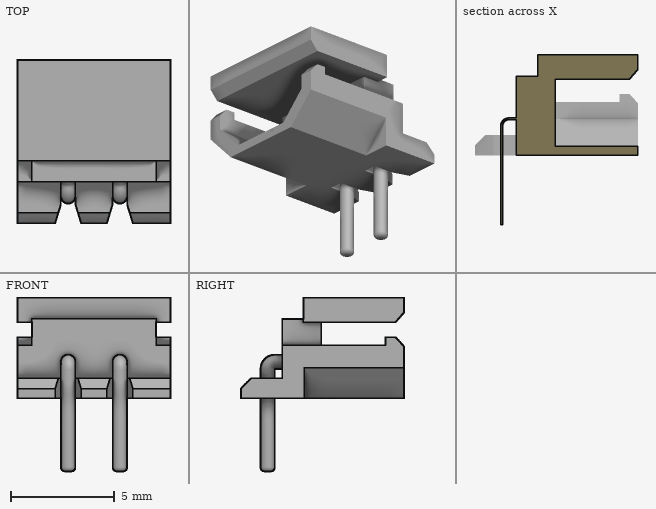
import cadquery as cq
import math


width = 7.4
half_width = width / 2
side_wall_thickness = 0.7
mating_face_y = 5.9
roof_front_y = 1.02
rail_top_z = 2.58
wall_top_z = 3.85
roof_bottom_z = 3.68
roof_top_z = 4.87
roof_chamfer_depth = 0.42
roof_chamfer_height = 0.48

centre_wall_width = width - 2 * side_wall_thickness
centre_wall_thickness = 1.9

bump_length = 0.91
bump_top_z = 2.97
bump_chamfer_depth = 0.42
bump_chamfer_height = 0.46

side_bevel = 1.48
side_bevel_start_y = 1.08

floor_thickness = 0.45

foot_length = 2.0
foot_height = 0.98
foot_chamfer_depth = 0.5
foot_chamfer_height = 0.5
slot_mouth_width = 1.25
slot_straight_length = 1.1

pin_pitch = 2.5
pin_count = 2
pin_radius = 0.35
pin_bend_radius = pin_radius
pin_drop_y = -2 * pin_radius
pin_axis_z = 1.77
pin_bottom_z = -3.53
pin_tip_round = 0.2
pin_embed = 1.0

pin_positions = [(i - (pin_count - 1) / 2) * pin_pitch for i in range(pin_count)]


def extrude_across(points, across):
    """Extrude a closed (Y, Z) outline along X, centred on X = 0."""
    return cq.Workplane("YZ").polyline(points).close().extrude(across / 2, both=True)


def make_base():
    """Rear wall, side rails with locking bumps, and foot flange as one profile."""
    bump_start_y = mating_face_y - bump_length
    return extrude_across(
        [
            (-foot_length, 0),
            (mating_face_y, 0),
            (mating_face_y, bump_top_z - bump_chamfer_height),
            (mating_face_y - bump_chamfer_depth, bump_top_z),
            (bump_start_y, bump_top_z),
            (bump_start_y, rail_top_z),
            (0, rail_top_z),
            (0, foot_height),
            (foot_chamfer_depth - foot_length, foot_height),
            (-foot_length, foot_height - foot_chamfer_height),
        ],
        width,
    )


def make_centre_wall():
    """Wall rising from the base to meet the roof."""
    return extrude_across(
        [
            (0, 0),
            (centre_wall_thickness, 0),
            (centre_wall_thickness, wall_top_z),
            (0, wall_top_z),
        ],
        centre_wall_width,
    )


def make_roof():
    """Full-width plate over the cavity, chamfered under its mating edge."""
    return extrude_across(
        [
            (roof_front_y, roof_bottom_z),
            (mating_face_y - roof_chamfer_depth, roof_bottom_z),
            (mating_face_y, roof_bottom_z + roof_chamfer_height),
            (mating_face_y, roof_top_z),
            (roof_front_y, roof_top_z),
        ],
        width,
    )


def make_cavity():
    """Open-topped cavity whose lower corners run parallel to the side bevels."""
    half_cavity = centre_wall_width / 2
    slope_offset = side_wall_thickness * math.sqrt(2)
    corner_z = side_bevel - side_wall_thickness + slope_offset
    half_floor = half_cavity - (corner_z - floor_thickness)
    return (
        cq.Workplane("XZ", origin=(0, mating_face_y, 0))
        .moveTo(-half_floor, floor_thickness)
        .lineTo(half_floor, floor_thickness)
        .lineTo(half_cavity, corner_z)
        .lineTo(half_cavity, roof_bottom_z)
        .lineTo(-half_cavity, roof_bottom_z)
        .lineTo(-half_cavity, corner_z)
        .close()
        .extrude(mating_face_y - centre_wall_thickness)
    )


def make_side_bevel(side):
    """Cutter for the 45 degree lower bevel on one side (side is -1 or 1)."""
    return (
        cq.Workplane("XZ", origin=(0, mating_face_y, 0))
        .moveTo(side * half_width, 0)
        .lineTo(side * half_width, side_bevel)
        .lineTo(side * (half_width - side_bevel), 0)
        .close()
        .extrude(mating_face_y - side_bevel_start_y)
    )


def make_pin_slot(x):
    """Cutter for one slot through the foot, flaring towards the foot's edge."""
    half_mouth = slot_mouth_width / 2
    return (
        cq.Workplane("XY")
        .moveTo(x - pin_radius, 0)
        .lineTo(x - pin_radius, -slot_straight_length)
        .lineTo(x - half_mouth, -foot_length)
        .lineTo(x + half_mouth, -foot_length)
        .lineTo(x + pin_radius, -slot_straight_length)
        .lineTo(x + pin_radius, 0)
        .close()
        .extrude(foot_height)
    )


def make_pin(x):
    """Round pin leaving the rear wall, bent straight down, with a rounded tip."""
    bend_start_y = pin_drop_y + pin_bend_radius
    bend_end_z = pin_axis_z - pin_bend_radius
    bend_mid_y = bend_start_y - pin_bend_radius * math.sqrt(0.5)
    bend_mid_z = bend_end_z + pin_bend_radius * math.sqrt(0.5)
    path = (
        cq.Workplane("YZ", origin=(x, 0, 0))
        .moveTo(pin_embed, pin_axis_z)
        .lineTo(bend_start_y, pin_axis_z)
        .threePointArc((bend_mid_y, bend_mid_z), (pin_drop_y, bend_end_z))
        .lineTo(pin_drop_y, pin_bottom_z)
    )
    return (
        cq.Workplane("XZ", origin=(x, pin_embed, pin_axis_z))
        .circle(pin_radius)
        .sweep(path)
        .faces("<Z")
        .edges()
        .fillet(pin_tip_round)
    )


result = make_base().cut(make_cavity()).union(make_centre_wall()).union(make_roof())

for side in (-1, 1):
    result = result.cut(make_side_bevel(side))

for pin_x in pin_positions:
    result = result.cut(make_pin_slot(pin_x))
    result = result.union(make_pin(pin_x))